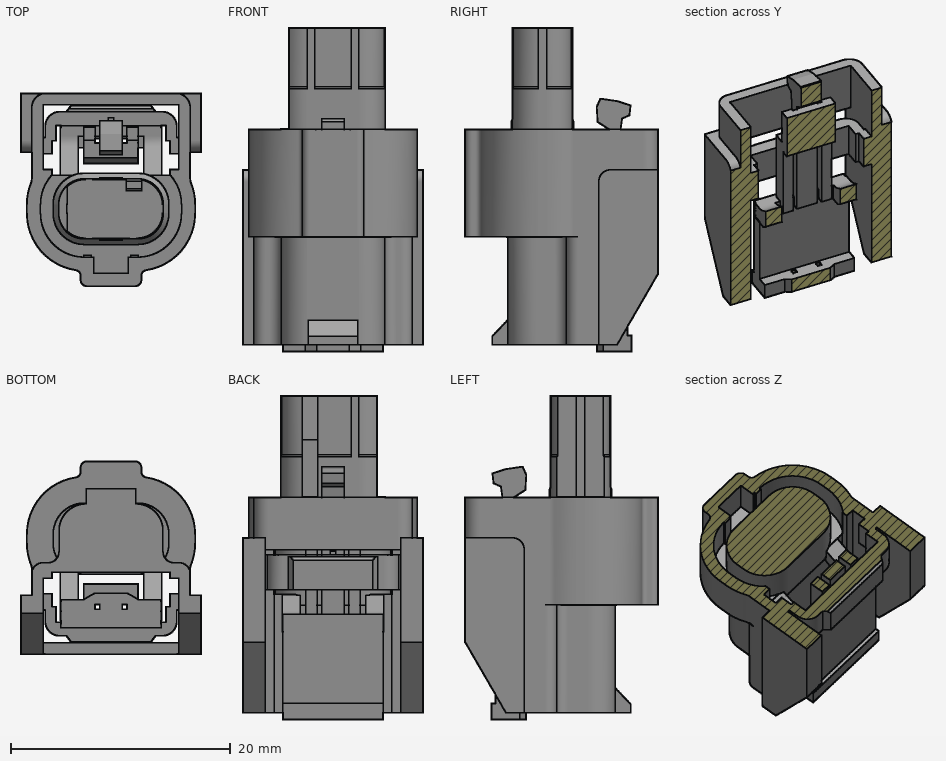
import math

import cadquery as cq

BODY_TOP = 19.62
PLUG_TOP = 28.85
TAIL_BOTTOM = -0.6
COLLAR_RING_BOTTOM = 9.84
CAVITY_FLOOR = 10.8

OVERLAP = 1.0

CORNER_X = 2.42
CORNER_Y = 0.4
PLUG_RADIUS = 2.34
BASE_RADIUS = 2.85
CAVITY_RADIUS = 4.0
SHELL_RADIUS = 5.25
PLUG_HALF_Y = CORNER_Y + PLUG_RADIUS
BASE_TOP = 16.9
BASE_SLOPE_HEIGHT = 0.65
CUT_X = -3.96
CUT_FLOOR = 19.7
CUT_RIB = 0.08
PANEL_HALF_WIDTH = 1.65
BAND_OUTER_X = 2.36
PANEL_BOTTOM = 23.31
PANEL_LEDGE = 0.18
PANEL_DEPTH = 0.08
PAD_HALF_WIDTH = 1.04
PAD_TOP = 20.57
PAD_CHAMFER = 0.25
PAD_DEPTH = 0.1
NOTCH_X = (1.4, 2.78)
NOTCH_TOP_Y = 1.65
NOTCH_FLOOR_Y = 1.85
NOTCH_SILL_Y = 2.53
NOTCH_DEPTH = 4.0

BOX_HALF_X = 7.21
BOX_BACK = 10.52
BOX_CORNER = 1.3
BOX_ROOT_RADIUS = 1.24
WALL = 1.06
BAY_HALF_X = BOX_HALF_X - WALL
BAY_BACK = BOX_BACK - WALL
BAY_FRONT = 3.6
BAY_NARROW_HALF_X = 5.35
CORE_BACK = 3.06
STRAP_BOTTOM = 14.85
SLANT_TOP = 6.46
SLANT_FOOT_Y = 6.78
EAR_HALF_X = 8.2
EAR_FRONT = 5.13
EAR_TOP = 15.94
EAR_RADIUS = 1.05

KEY_HALF_X = 2.78
KEY_FRONT = -7.05
KEY_RADIUS = 0.6
KEY_ROOT_RADIUS = 0.49
KEY_SLOT_HALF_X = 1.55
KEY_SLOT_FRONT = -5.88
SLOT_RIB_X = (1.78, 2.5)
SLOT_RIB_HEIGHT = 0.17
SLOT_RIB_DROP = 1.0

CORE_HALF_X = 4.73
CORE_FRONT = -3.17
CORE_FLAT_HALF_X = 2.36
CORE_SIDE_FRONT = -0.65
LOBE_FRONT = 2.19
LOBE_RADIUS = 1.0
LOBE_INNER_X = 5.75
WEDGE_HALF_X = 2.27
WEDGE_FRONT = -4.57
WEDGE_LIP = 0.8
WEDGE_TOP = 2.27

ARCH_BOTTOM = 11.2
ARCH_TOP = 14.4
ARCH_BACK = 8.85
ARCH_INNER_BACK = 7.58
ARCH_HALF_X = 6.0
ARCH_INNER_HALF_X = 5.0
ARCH_STEP_Y = 6.18
ARCH_FRONT = 5.0
ARCH_JOIN_Y = 6.5
ARCH_RADIUS = 1.35
ARCH_PAD_BACK = 9.42
ARCH_PAD_HALF_X = (4.06, 3.62)
ARCH_PAD_CHAMFER = 0.3
ARCH_PAD_DROP = 0.2
NUB_HALF_X = 0.24
NUB_BACK = 8.28
NUB_HEIGHT = 0.3

LEVER_HALF_X = 4.57
LEVER_FRONT = 6.6
LEVER_BACK = 7.75
LEVER_TOP = 9.0
TAIL_TOP = 0.87
TAIL_BACK = 8.12
TAIL_FRONT = 5.55
TAIL_NOSE = 4.95
TAIL_NOSE_HALF_X = (2.53, 1.47)
ARM_X = (2.96, 4.64)
ARM_THICKNESS = 1.6
ARM_BEND_Y = 5.7
ARM_ANGLE = math.radians(30)
FINGER_BACK = 7.42
FINGER_HALF_X = 2.48
FINGER_FRONT = 4.12
FINGER_SLOPE_Y = 4.66
FINGER_REAR = 6.25
FINGER_TOP = 19.4
FINGER_SLOPE_BOTTOM = 18.0
FINGER_BOTTOM = 15.0
CHEEK_LAP = 1.0
HEAD_HALF_X = 1.04
EYE_HALF_X = 1.45
EYE_Y = (6.0, 6.4)
NECK_Y = (6.06, 7.12)
HEAD_OUTLINE = [
    (5.01, 20.3), (4.93, 21.67), (5.27, 22.43), (6.82, 22.2), (8.03, 21.81), (7.93, 20.9), (7.26, 20.6),
]


def box(x0, x1, y0, y1, z0, z1):
    """Axis-aligned block between two opposite corners."""
    return cq.Workplane("XY").box(x1 - x0, y1 - y0, z1 - z0, centered=False).translate((x0, y0, z0))


def centred_box(half_x, y0, y1, z0, z1):
    return box(-half_x, half_x, y0, y1, z0, z1)


def both_sides(shape):
    """A shape together with its mirror image in x."""
    return shape.union(shape.mirror("YZ"))


def side_profile(points, x0, x1):
    """(y, z) outline extruded between two x positions."""
    return cq.Workplane("YZ", origin=(x0, 0, 0)).polyline(points).close().extrude(x1 - x0)


def oval(radius, z0, z1, taper=0):
    """Upright rounded rectangle on the common corner centres."""
    return (
        cq.Workplane("XY", origin=(0, 0, z0))
        .sketch()
        .rect(2 * (CORNER_X + radius), 2 * (CORNER_Y + radius))
        .vertices()
        .fillet(radius)
        .finalize()
        .extrude(z1 - z0, taper=taper)
    )


def root_blend(wall_x, radius):
    """Concave fillet between a flank at x = wall_x and the front corner arc of the shell."""
    centre_x = wall_x + radius
    run = centre_x - CORNER_X
    drop = math.sqrt((SHELL_RADIUS + radius) ** 2 - run**2)
    ratio = SHELL_RADIUS / (SHELL_RADIUS + radius)
    centre_y = -CORNER_Y - drop
    tangent_x = CORNER_X + run * ratio
    tangent_y = -CORNER_Y - drop * ratio
    fill = box(wall_x, tangent_x, centre_y, tangent_y, COLLAR_RING_BOTTOM, BODY_TOP)
    round_cut = (
        cq.Workplane("XY", origin=(centre_x, centre_y, COLLAR_RING_BOTTOM))
        .circle(radius)
        .extrude(BODY_TOP - COLLAR_RING_BOTTOM)
    )
    return fill.cut(round_cut)


def make_shell():
    """Oval ring, box and key rib as one open-topped block, before hollowing."""
    ring = oval(SHELL_RADIUS, COLLAR_RING_BOTTOM, BODY_TOP)
    key_root = -CORNER_Y - SHELL_RADIUS
    key = centred_box(KEY_HALF_X, KEY_FRONT, key_root + OVERLAP, COLLAR_RING_BOTTOM, BODY_TOP)
    key = key.edges("|Z and <Y").fillet(KEY_RADIUS)
    return ring.union(key).union(both_sides(root_blend(KEY_HALF_X, KEY_ROOT_RADIUS)))


def make_core():
    """Lower body: rounded front, concave flanks and the lobes under the box."""
    diagonal = math.sqrt(0.5)
    nose_rx = CORE_HALF_X - CORE_FLAT_HALF_X
    nose_ry = CORE_SIDE_FRONT - CORE_FRONT
    flank_r = LOBE_INNER_X - CORE_HALF_X
    lobe_x = BOX_HALF_X - LOBE_RADIUS
    lobe_y = LOBE_FRONT + LOBE_RADIUS
    nose_mid = (CORE_FLAT_HALF_X + nose_rx * diagonal, CORE_SIDE_FRONT - nose_ry * diagonal)
    flank_mid = (LOBE_INNER_X - flank_r * diagonal, LOBE_FRONT - flank_r * (1 - diagonal))
    lobe_mid = (lobe_x + LOBE_RADIUS * diagonal, lobe_y - LOBE_RADIUS * diagonal)
    half = (
        cq.Workplane("XY")
        .moveTo(0, CORE_FRONT)
        .lineTo(CORE_FLAT_HALF_X, CORE_FRONT)
        .threePointArc(nose_mid, (CORE_HALF_X, CORE_SIDE_FRONT))
        .lineTo(CORE_HALF_X, LOBE_FRONT - flank_r)
        .threePointArc(flank_mid, (LOBE_INNER_X, LOBE_FRONT))
        .lineTo(lobe_x, LOBE_FRONT)
        .threePointArc(lobe_mid, (BOX_HALF_X, lobe_y))
        .lineTo(BOX_HALF_X, BAY_FRONT)
        .lineTo(0, BAY_FRONT)
        .close()
        .extrude(CAVITY_FLOOR)
    )
    return both_sides(half)


def make_wedge():
    profile = [(CORE_FRONT + OVERLAP, 0), (WEDGE_FRONT, 0), (WEDGE_FRONT, WEDGE_LIP), (CORE_FRONT, WEDGE_TOP),
               (CORE_FRONT + OVERLAP, WEDGE_TOP)]
    return side_profile(profile, -WEDGE_HALF_X, WEDGE_HALF_X)


def make_box():
    """Walls around the latch with the ears, slanted at the lower back."""
    walls = centred_box(BOX_HALF_X, LOBE_FRONT + LOBE_RADIUS, BOX_BACK, 0, BODY_TOP)
    walls = walls.edges("|Z and >Y").fillet(BOX_CORNER)
    neck = centred_box(BOX_HALF_X, CORNER_Y, BAY_FRONT, COLLAR_RING_BOTTOM, BODY_TOP)
    neck = neck.union(both_sides(root_blend(BOX_HALF_X, BOX_ROOT_RADIUS).mirror("XZ")))
    ear = box(BAY_HALF_X, EAR_HALF_X, EAR_FRONT, BOX_BACK, 0, EAR_TOP)
    ear = ear.edges("|X and >Z and <Y").fillet(EAR_RADIUS)
    slant = side_profile(
        [(SLANT_FOOT_Y, 0), (BOX_BACK, SLANT_TOP), (BOX_BACK, 0)], -EAR_HALF_X, EAR_HALF_X
    )
    return walls.union(neck).union(both_sides(ear)).cut(slant)


def make_cavities():
    """Oval cavity around the plug, key slot, latch bay and the opening under the back strap."""
    cavity = oval(CAVITY_RADIUS, CAVITY_FLOOR, BODY_TOP)
    cavity_front = -CORNER_Y - CAVITY_RADIUS
    rib_back = cavity_front + SLOT_RIB_HEIGHT
    rib = box(*SLOT_RIB_X, cavity_front, rib_back, CAVITY_FLOOR, BODY_TOP - SLOT_RIB_DROP)
    slot = centred_box(KEY_SLOT_HALF_X, KEY_SLOT_FRONT, 0, CAVITY_FLOOR, BODY_TOP)
    bay = centred_box(BAY_HALF_X, BAY_FRONT, BAY_BACK, 0, BODY_TOP)
    throat = centred_box(BAY_NARROW_HALF_X, CORE_BACK, BAY_FRONT, 0, BODY_TOP)
    opening = centred_box(BAY_HALF_X, BAY_BACK, BOX_BACK, 0, STRAP_BOTTOM)
    cavity = cavity.intersect(centred_box(BOX_HALF_X, KEY_FRONT, CORE_BACK, 0, BODY_TOP))
    return cavity.cut(both_sides(rib)).union(slot).union(bay).union(throat).union(opening)


def make_plug():
    base = oval(BASE_RADIUS, CAVITY_FLOOR - OVERLAP, BASE_TOP)
    slope = math.degrees(math.atan((BASE_RADIUS - PLUG_RADIUS) / BASE_SLOPE_HEIGHT))
    shoulder = oval(BASE_RADIUS, BASE_TOP, BASE_TOP + BASE_SLOPE_HEIGHT, slope)
    plug = oval(PLUG_RADIUS, BASE_TOP, PLUG_TOP)

    left = -CORNER_X - PLUG_RADIUS
    cut = box(left, CUT_X, -PLUG_HALF_Y, PLUG_HALF_Y, CUT_FLOOR, PLUG_TOP)
    rib = box(CUT_X - CUT_RIB, CUT_X, -CORNER_Y, CORNER_Y, CUT_FLOOR, PLUG_TOP)
    plug = plug.cut(cut.cut(rib))

    ledge_top = PANEL_BOTTOM + PANEL_LEDGE
    ledge_angle = math.degrees(math.atan(PANEL_DEPTH / PANEL_LEDGE))
    inner = oval(PLUG_RADIUS, PANEL_BOTTOM, ledge_top, ledge_angle)
    inner = inner.union(oval(PLUG_RADIUS - PANEL_DEPTH, ledge_top, PLUG_TOP))
    relief = oval(PLUG_RADIUS, PANEL_BOTTOM, PLUG_TOP).cut(inner)
    band = box(PANEL_HALF_WIDTH, BAND_OUTER_X, -PLUG_HALF_Y, PLUG_HALF_Y, PANEL_BOTTOM, PLUG_TOP)
    ends = centred_box(-left, -CORNER_Y, CORNER_Y, PANEL_BOTTOM, PLUG_TOP)
    plug = plug.cut(relief.cut(both_sides(band)).cut(ends))

    pad_half_y = PLUG_HALF_Y + PAD_DEPTH
    pad = centred_box(PAD_HALF_WIDTH, -pad_half_y, pad_half_y, BASE_TOP, PAD_TOP)
    pad = pad.edges("|X and >Z").chamfer(PAD_CHAMFER, PAD_DEPTH)
    notch_floor = PLUG_TOP - NOTCH_DEPTH
    notch = side_profile(
        [
            (NOTCH_TOP_Y, PLUG_TOP), (NOTCH_FLOOR_Y, notch_floor), (NOTCH_SILL_Y, notch_floor),
            (NOTCH_SILL_Y, CUT_FLOOR), (PLUG_HALF_Y, CUT_FLOOR), (PLUG_HALF_Y, PLUG_TOP),
        ],
        *NOTCH_X,
    )
    return base.union(shoulder).union(plug).union(pad).cut(notch)


def make_arch():
    """Guard arch tied to the side walls, with a tapered pad on its back."""
    arch = centred_box(ARCH_HALF_X, ARCH_FRONT, ARCH_BACK, ARCH_BOTTOM, ARCH_TOP)
    arch = arch.edges("|Z and >Y").fillet(ARCH_RADIUS)
    tie = box(ARCH_HALF_X, BAY_HALF_X, ARCH_FRONT, ARCH_JOIN_Y, ARCH_BOTTOM, ARCH_TOP)
    inside = centred_box(ARCH_INNER_HALF_X, ARCH_FRONT, ARCH_INNER_BACK, ARCH_BOTTOM, ARCH_TOP)
    relief = centred_box(BAY_NARROW_HALF_X, ARCH_FRONT, ARCH_STEP_Y, ARCH_BOTTOM, ARCH_TOP)
    root_x, tip_x = ARCH_PAD_HALF_X
    pad_outline = [
        (-root_x, ARCH_BACK), (root_x, ARCH_BACK), (tip_x, ARCH_PAD_BACK), (-tip_x, ARCH_PAD_BACK),
    ]
    pad = (
        cq.Workplane("XY", origin=(0, 0, ARCH_BOTTOM))
        .polyline(pad_outline)
        .close()
        .extrude(ARCH_TOP - ARCH_PAD_DROP - ARCH_BOTTOM)
        .edges("|X and >Z and >Y")
        .chamfer(ARCH_PAD_CHAMFER)
    )
    nub = centred_box(NUB_HALF_X, ARCH_INNER_BACK, NUB_BACK, ARCH_BOTTOM, ARCH_TOP + NUB_HEIGHT)
    return arch.cut(inside).cut(relief).union(both_sides(tie)).union(pad).union(nub)


def make_tail():
    outer_x, inner_x = TAIL_NOSE_HALF_X
    outline = [
        (-LEVER_HALF_X, TAIL_BACK),
        (-LEVER_HALF_X, TAIL_FRONT),
        (-outer_x, TAIL_FRONT),
        (-inner_x, TAIL_NOSE),
        (inner_x, TAIL_NOSE),
        (outer_x, TAIL_FRONT),
        (LEVER_HALF_X, TAIL_FRONT),
        (LEVER_HALF_X, TAIL_BACK),
    ]
    tail = cq.Workplane("XY", origin=(0, 0, TAIL_BOTTOM)).polyline(outline).close()
    return tail.extrude(TAIL_TOP - TAIL_BOTTOM)


def make_arm():
    """Spring arm: level at the lever, then curving up into a slope that meets the core."""
    radius = (LEVER_FRONT - ARM_BEND_Y) / math.sin(ARM_ANGLE)
    half_angle = ARM_ANGLE / 2
    mid = (LEVER_FRONT - radius * math.sin(half_angle), LEVER_TOP + radius * (1 - math.cos(half_angle)))
    bend_z = LEVER_TOP + radius * (1 - math.cos(ARM_ANGLE))
    core_z = bend_z + (ARM_BEND_Y - CORE_BACK) * math.tan(ARM_ANGLE)
    x0, x1 = ARM_X
    return (
        cq.Workplane("YZ", origin=(x0, 0, 0))
        .moveTo(FINGER_BACK, LEVER_TOP)
        .lineTo(LEVER_FRONT, LEVER_TOP)
        .threePointArc(mid, (ARM_BEND_Y, bend_z))
        .lineTo(CORE_BACK, core_z)
        .lineTo(CORE_BACK, core_z - ARM_THICKNESS)
        .lineTo(ARM_BEND_Y, LEVER_TOP - ARM_THICKNESS)
        .lineTo(FINGER_BACK, LEVER_TOP - ARM_THICKNESS)
        .close()
        .extrude(x1 - x0)
    )


def make_latch():
    """Lever plate with tail, two spring arms to the core, release finger and hooked head."""
    plate = centred_box(LEVER_HALF_X, LEVER_FRONT, LEVER_BACK, TAIL_BOTTOM, LEVER_TOP)
    finger = side_profile(
        [
            (FINGER_REAR, FINGER_BOTTOM), (FINGER_REAR, FINGER_TOP), (FINGER_SLOPE_Y, FINGER_TOP),
            (FINGER_FRONT, FINGER_SLOPE_BOTTOM), (FINGER_FRONT, FINGER_BOTTOM),
        ],
        -FINGER_HALF_X,
        FINGER_HALF_X,
    )
    cheek_top = FINGER_BOTTOM + CHEEK_LAP
    cheek = box(EYE_HALF_X, FINGER_HALF_X, EYE_Y[0], FINGER_BACK, LEVER_TOP - OVERLAP, cheek_top)
    head = side_profile(
        [
            (NECK_Y[0], LEVER_TOP - OVERLAP), (NECK_Y[0], BODY_TOP), *HEAD_OUTLINE, (NECK_Y[1], BODY_TOP),
            (NECK_Y[1], LEVER_TOP - OVERLAP),
        ],
        -HEAD_HALF_X,
        HEAD_HALF_X,
    )
    eye = box(HEAD_HALF_X, EYE_HALF_X, *EYE_Y, TAIL_BOTTOM, FINGER_TOP)
    latch = plate.union(make_tail()).union(both_sides(make_arm())).union(finger).union(both_sides(cheek))
    return latch.union(head).cut(both_sides(eye))


housing = make_shell().union(make_core()).union(make_box()).cut(make_cavities()).union(make_wedge())
result = housing.union(make_plug()).union(make_arch()).union(make_latch())